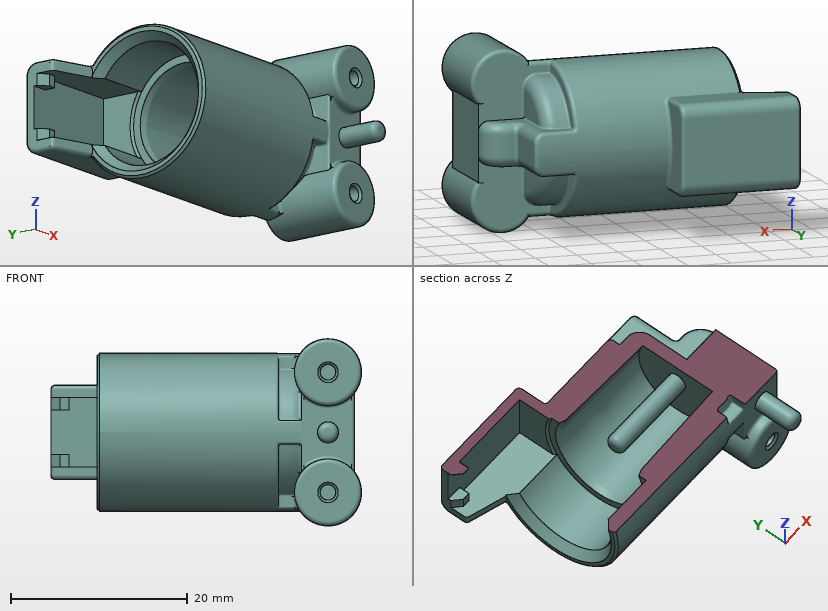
import cadquery as cq
import math

barrel_start = 5.25
shell_end = 25.85
shell_radius = 9.0
rim_chamfer = 0.28
cup_radius = 7.5
cup_end = 29.05
cup_rounding = 1.6

bore_radius = 7.27
mouth_radius = 8.2
mouth_depth = 1.15
ledge_x = 13.25
seat_radius = 6.3
seat_neck_radius = 6.05
seat_neck_x = 14.1
seat_floor_radius = 5.65
seat_floor_x = cup_end - 1.48

pin_radius = 1.2
pin_rounding = 0.75
contact_tip_x = 15.88
pin_tip = -14.3

shroud_end = 14.35
shroud_top = 12.6
shroud_half_width = 5.35
shroud_wall_top = 1.27
shroud_wall_side = 1.4
shroud_wall_end = 1.38
shroud_corner = 1.48
shroud_edge = 0.5
root_fillet = 0.42
shroud_lip_start = 8.65
shroud_lip_end = 7.02
shroud_root = 6.0
cavity_chamfer = 0.28

stop_length = 2.05
stop_ramp = stop_length / 2
stop_width = 1.4
stop_tip = 10.95
stop_face = 9.95

part_length = 35.28
boss_radius = 3.8
boss_x = part_length - boss_radius
boss_offset = 6.825
boss_bottom = -10.6
boss_rounding = 0.5
collar_size = 0.3
screw_radius = 0.88
screw_mouth_radius = 1.15
screw_depth = 7.05

block_start = 28.47
block_end = 34.5
block_bottom = -9.1
block_half_width = 4.6
block_rounding = 0.4

web_bottom = -2.5
web_top = 0.0

rib_half_width = 2.55
rib_end = 30.75
rib_shoulder = 3.2
rib_inner_arc = 0.45
rib_flat = 0.5
rib_edge = 1.2
front_rib_half_width = 1.35

pocket_fillet = 0.25
front_mouth_rounding = 0.25
rear_mouth_rounding = 0.5
margin = 0.05


def box(x0, x1, y0, y1, half_width):
    """Block between the given X and Y limits, centred on Z = 0."""
    size = (x1 - x0, y1 - y0, 2 * half_width)
    return cq.Workplane("XY").box(*size).translate(((x0 + x1) / 2, (y0 + y1) / 2, 0))


def x_cylinder(radius, x0, x1):
    return cq.Workplane("YZ", origin=(x0, 0, 0)).circle(radius).extrude(x1 - x0)


def y_cylinder(radius, x, z, y0, y1):
    """Cylinder along Y from y0 down to y1."""
    return cq.Workplane("XZ", origin=(x, y0, z)).circle(radius).extrude(y0 - y1)


def revolve_about_x(profile, angle=360):
    return profile.close().revolve(angle, (0, 0, 0), (1, 0, 0))


def make_barrel():
    """Upper half of the solid shell stepping down to the cup."""
    diagonal = math.sqrt(0.5)
    profile = (
        cq.Workplane("XY")
        .moveTo(barrel_start, 0)
        .lineTo(barrel_start, shell_radius - rim_chamfer)
        .lineTo(barrel_start + rim_chamfer, shell_radius)
        .lineTo(shell_end, shell_radius)
        .lineTo(shell_end, cup_radius)
        .lineTo(cup_end - cup_rounding, cup_radius)
        .threePointArc(
            (cup_end - cup_rounding * (1 - diagonal), cup_radius - cup_rounding * (1 - diagonal)),
            (cup_end, cup_radius - cup_rounding),
        )
        .lineTo(cup_end, 0)
    )
    return revolve_about_x(profile, 180)


def make_bore():
    profile = (
        cq.Workplane("XY")
        .moveTo(barrel_start, 0)
        .lineTo(barrel_start, mouth_radius)
        .lineTo(barrel_start + mouth_depth, bore_radius)
        .lineTo(ledge_x, bore_radius)
        .lineTo(ledge_x, seat_radius)
        .lineTo(seat_neck_x, seat_neck_radius)
        .lineTo(seat_floor_x, seat_floor_radius)
        .lineTo(seat_floor_x, 0)
    )
    return revolve_about_x(profile)


def make_rear_rib():
    """Rib above the cross wall; its rear edge sweeps out to the end of the block."""
    diagonal = math.sqrt(0.5)
    flat_start = rib_end + rib_inner_arc
    flat_end = flat_start + rib_flat
    flat_y = rib_shoulder - rib_inner_arc
    outer_arc = block_end - flat_end
    outer_y = flat_y - outer_arc
    rib = (
        cq.Workplane("XY")
        .moveTo(shell_end, web_bottom)
        .lineTo(shell_end, shell_radius)
        .lineTo(rib_end, shell_radius)
        .lineTo(rib_end, rib_shoulder)
        .threePointArc(
            (flat_start - rib_inner_arc * diagonal, flat_y + rib_inner_arc * (1 - diagonal)),
            (flat_start, flat_y),
        )
        .lineTo(flat_end, flat_y)
        .threePointArc(
            (flat_end + outer_arc * diagonal, outer_y + outer_arc * diagonal),
            (block_end, outer_y),
        )
        .lineTo(block_end, web_bottom)
        .close()
        .extrude(rib_half_width, both=True)
    )
    rear_edges = cq.selectors.BoxSelector(
        (rib_end - 0.35, outer_y, -shell_radius), (part_length, shell_radius, shell_radius)
    )
    rib = rib.faces("<Z or >Z").edges(rear_edges).fillet(rib_edge)
    return rib.intersect(x_cylinder(shell_radius, barrel_start, part_length))


def make_front_rib():
    rib = box(shell_end, block_start, -shell_radius, web_top, front_rib_half_width)
    return rib.intersect(x_cylinder(shell_radius, barrel_start, part_length))


def make_web():
    web = box(shell_end, boss_x, web_bottom, web_top, shell_radius)
    return web.intersect(x_cylinder(shell_radius, barrel_start, part_length))


def make_block():
    block = box(block_start, block_end, block_bottom, web_top, block_half_width)
    return block.edges(">X and <Y").fillet(block_rounding)


def make_boss():
    boss = y_cylinder(boss_radius, boss_x, boss_offset, 0, boss_bottom)
    return boss.faces("<Y or >Y").edges().fillet(boss_rounding)


def make_boss_collar():
    """Concave collars rounding the upper boss into the block and into the web."""
    wide = 2 * part_length
    over_block = box(
        block_start + front_mouth_rounding, block_end - block_rounding, -wide, wide, block_half_width
    )
    over_web = x_cylinder(shell_radius, shell_end, boss_x).intersect(
        cq.Workplane("XY", origin=(0, 0, cup_radius - pocket_fillet)).rect(wide, wide).extrude(wide)
    )
    block_collar = make_collar_ring(block_bottom).intersect(over_block)
    return block_collar.union(make_collar_ring(web_bottom).intersect(over_web))


def make_collar_ring(seat):
    """Ring of concave triangular section around the upper boss, standing on the plane Y = seat."""
    inner = boss_radius - 2 * collar_size
    bend = collar_size * (1 - math.sqrt(0.5))
    profile = (
        cq.Workplane("XY", origin=(boss_x, 0, boss_offset))
        .moveTo(inner, seat + collar_size)
        .lineTo(boss_radius + collar_size, seat + collar_size)
        .lineTo(boss_radius + collar_size, seat)
        .threePointArc((boss_radius + bend, seat - bend), (boss_radius, seat - collar_size))
        .lineTo(inner, seat - collar_size)
        .close()
    )
    return profile.revolve(360, (0, 0, 0), (0, 1, 0))


def make_screw_hole():
    """Blind pilot hole with a countersunk mouth."""
    hole = y_cylinder(screw_radius, boss_x, boss_offset, boss_bottom + screw_depth, boss_bottom)
    flare = screw_mouth_radius - screw_radius
    mouth = y_cylinder(screw_mouth_radius, boss_x, boss_offset, boss_bottom + flare, boss_bottom)
    return hole.union(mouth.faces(">Y").chamfer(flare * 0.99))


def distance_from_axis(edge):
    middle = edge.positionAt(0.5)
    return math.hypot(middle.y, middle.z)


def edges_between(body, low, high):
    return body.edges(cq.selectors.BoxSelector(low, high))


def pocket_floor_edges(body, y_low, y_high):
    """Concave edges where the pocket walls meet each other and the cup, for Z > 0."""
    wall_limit = shell_radius - rear_mouth_rounding - 0.18
    low = (shell_end - margin, y_low, front_rib_half_width - margin)
    high = (block_start + 3 * margin, y_high, shell_radius)
    edges = edges_between(body, low, high)
    edges = edges.filter(lambda edge: distance_from_axis(edge) < wall_limit)
    cup_middle = (shell_end + cup_end - cup_rounding) / 2
    cup_reach = cup_end - cup_rounding - cup_middle + margin
    return edges.filter(
        lambda edge: edge.geomType() != "CIRCLE"
        or edge.Center().x < shell_end + margin
        or edge.Center().x > cup_middle + cup_reach
    )


def pocket_mouth_edges(body, y_low, y_high):
    """Convex edges where the pocket walls meet the outer cylinder, for Z > 0."""
    low = (shell_end - margin, y_low, 0.35)
    high = (block_start + 0.35, y_high, shell_radius + margin)
    edges = edges_between(body, low, high)
    edges = edges.filter(lambda edge: distance_from_axis(edge) > shell_radius - margin)
    return edges.filter(lambda edge: abs(edge.Center().x - block_start) > margin)


def make_framed_half():
    """Upper half of the barrel, shroud, ribs, web and block with the pocket edges rounded."""
    half = round_shroud_root(make_barrel().union(make_shroud()))
    half = half.union(make_rear_rib()).union(make_front_rib())
    half = half.union(make_web()).union(make_block())
    upper_space = cq.Workplane("XY").rect(3 * part_length, 3 * part_length).extrude(part_length)
    half = half.intersect(upper_space).clean()

    front = (-shell_radius - margin, web_bottom + margin)
    half = pocket_mouth_edges(half, *front).fillet(front_mouth_rounding)
    block_corner = edges_between(
        half,
        (block_start - margin, block_bottom - margin, 0.35),
        (block_start + margin, block_bottom + margin, block_half_width + margin),
    )
    half = block_corner.fillet(front_mouth_rounding)
    half = pocket_floor_edges(half, *front).fillet(pocket_fillet)

    rear = (web_top - margin, shell_radius + margin)
    half = pocket_floor_edges(half, *rear).fillet(pocket_fillet)
    return pocket_mouth_edges(half, *rear).fillet(rear_mouth_rounding)


def make_shroud():
    shroud = (
        cq.Workplane("XY")
        .moveTo(0, shroud_top)
        .lineTo(shroud_end, shroud_top)
        .lineTo(shroud_end, shroud_root)
        .lineTo(barrel_start, shroud_root)
        .lineTo(barrel_start, shroud_lip_end)
        .lineTo(0, shroud_lip_start)
        .close()
        .extrude(shroud_half_width, both=True)
    )
    shroud = shroud.edges("|X and >Y").fillet(shroud_corner)
    lip_x = barrel_start / 2
    lip_edges = edges_between(
        shroud,
        (lip_x - 0.7, shroud_lip_end, -shroud_half_width - margin),
        (lip_x + 0.7, shroud_lip_start, shroud_half_width + margin),
    )
    shroud = lip_edges.fillet(shroud_edge)
    shroud = shroud.faces("<X").edges("not <Y").fillet(shroud_edge)
    return shroud.faces(">X").edges("not <Y").fillet(shroud_edge)


def round_shroud_root(body):
    """Concave fillet where the shroud stands on the barrel."""
    root_edges = edges_between(
        body,
        (barrel_start + 0.7, shroud_lip_end - 0.35, -shroud_half_width - margin),
        (shroud_end + 0.35, shell_radius + margin, shroud_half_width + margin),
    )
    return root_edges.fillet(root_fillet)


def make_shroud_cavity():
    cavity_end = shroud_end - shroud_wall_end
    half_width = shroud_half_width - shroud_wall_side
    cavity = box(0, cavity_end, 0, shroud_top - shroud_wall_top, half_width)
    flare = (
        cq.Workplane("YZ", origin=(cavity_end, 0, 0))
        .circle(bore_radius + cavity_chamfer)
        .workplane(offset=cavity_chamfer)
        .circle(bore_radius)
        .loft()
        .intersect(box(0, part_length, 0, part_length, half_width))
    )
    return cavity.union(flare)


def make_latch_stop():
    """Ramped stop in the upper inside corner of the shroud."""
    outer = shroud_half_width - shroud_wall_side
    return (
        cq.Workplane("XY", origin=(0, 0, outer - stop_width / 2))
        .moveTo(0, shroud_top - shroud_wall_top)
        .lineTo(0, stop_tip)
        .lineTo(stop_ramp, stop_face)
        .lineTo(stop_length, stop_face)
        .lineTo(stop_length, shroud_top - shroud_wall_top)
        .close()
        .extrude(stop_width / 2, both=True)
    )


def make_mount_pin():
    pin = y_cylinder(pin_radius, boss_x, 0, web_bottom, pin_tip)
    return pin.faces("<Y").edges().fillet(pin_rounding)


def make_contact_pin():
    pin = x_cylinder(pin_radius, contact_tip_x, seat_floor_x + 0.35)
    return pin.faces("<X").edges().fillet(pin_rounding)


half = make_framed_half().union(make_boss()).union(make_boss_collar())
half = half.cut(make_bore()).cut(make_shroud_cavity()).cut(make_screw_hole())
half = half.union(make_latch_stop())

result = half.union(half.mirror("XY"), clean=False)
result = result.union(make_mount_pin(), clean=False).union(make_contact_pin(), clean=False)